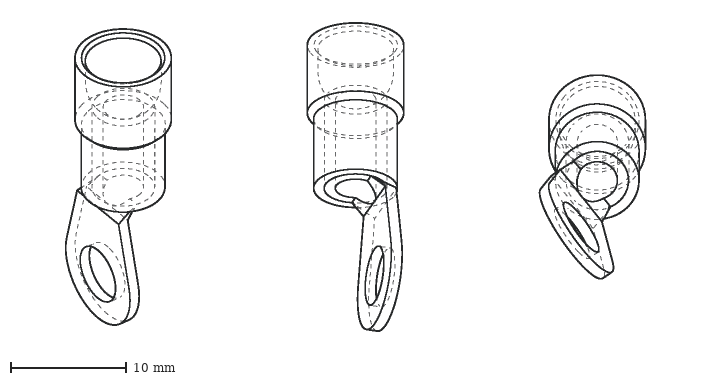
import cadquery as cq
import math

total_height = 27.0

ring_radius = 4.738
stud_hole_radius = 2.6
tongue_thickness = 1.0
tongue_top_half_width = 3.05
tongue_top = 12.0

barrel_radius = 2.73
wire_bore_radius = 1.75
barrel_bottom = 13.0
neck_chord_y = -0.55

sleeve_radius = 4.198
sleeve_lower_radius = 3.65
shoulder_bottom = 19.76
shoulder_top = 20.33
entry_radius = 3.3
entry_chamfer = 0.32
funnel_top = 24.38
funnel_depth = 2.7
funnel_bottom = funnel_top - funnel_depth

barrel_top = funnel_bottom
tongue_front_y = -barrel_radius
tongue_rear_y = tongue_front_y + tongue_thickness


def make_tongue():
    """Flat plate with a round end, flanks tangent to it, and a stud hole."""
    rise = tongue_top - ring_radius
    corner_distance = math.hypot(tongue_top_half_width, rise)
    tangent_angle = math.atan2(rise, tongue_top_half_width) - math.acos(ring_radius / corner_distance)
    tangent_x = ring_radius * math.cos(tangent_angle)
    tangent_z = ring_radius * (1 + math.sin(tangent_angle))
    plate = (
        cq.Workplane("XZ", origin=(0, tongue_rear_y, 0))
        .moveTo(-tongue_top_half_width, tongue_top)
        .lineTo(-tangent_x, tangent_z)
        .threePointArc((0, 0), (tangent_x, tangent_z))
        .lineTo(tongue_top_half_width, tongue_top)
        .close()
        .extrude(tongue_thickness)
    )
    stud_hole = (
        cq.Workplane("XZ", origin=(0, tongue_rear_y, 0))
        .center(0, ring_radius)
        .circle(stud_hole_radius)
        .extrude(tongue_thickness)
    )
    return plate.cut(stud_hole)


def make_neck():
    """Transition from the tongue's rectangular top edge to an arc of the barrel's end."""
    chord_half = math.sqrt(barrel_radius**2 - neck_chord_y**2)
    front_left = cq.Vector(-tongue_top_half_width, tongue_front_y, tongue_top)
    front_right = cq.Vector(tongue_top_half_width, tongue_front_y, tongue_top)
    rear_left = cq.Vector(-tongue_top_half_width, tongue_rear_y, tongue_top)
    rear_right = cq.Vector(tongue_top_half_width, tongue_rear_y, tongue_top)
    chord_left = cq.Vector(-chord_half, neck_chord_y, barrel_bottom)
    chord_right = cq.Vector(chord_half, neck_chord_y, barrel_bottom)
    arc_middle = cq.Vector(0, -barrel_radius, barrel_bottom)

    arc = cq.Edge.makeThreePointArc(chord_left, arc_middle, chord_right)
    front_edge = cq.Edge.makeLine(front_left, front_right)
    chord = cq.Edge.makeLine(chord_right, chord_left)

    def flat_face(*corners):
        return cq.Face.makeFromWires(cq.Wire.makePolygon(corners, close=True))

    faces = [
        cq.Face.makeRuledSurface(arc, front_edge),
        cq.Face.makeFromWires(cq.Wire.assembleEdges([arc, chord])),
        flat_face(front_left, front_right, rear_right, rear_left),
        flat_face(rear_left, rear_right, chord_right, chord_left),
        flat_face(front_left, rear_left, chord_left),
        flat_face(front_right, rear_right, chord_right),
    ]
    return cq.Workplane(cq.Solid.makeSolid(cq.Shell.makeShell(faces)))


def make_terminal():
    """Metal terminal: ring tongue, neck and barrel, with one wire bore."""
    barrel = (
        cq.Workplane("XY", origin=(0, 0, barrel_bottom))
        .circle(barrel_radius)
        .extrude(barrel_top - barrel_bottom)
    )
    wire_bore = (
        cq.Workplane("XY", origin=(0, 0, tongue_top))
        .circle(wire_bore_radius)
        .extrude(barrel_top - tongue_top)
    )
    return barrel.union(make_neck()).union(make_tongue()).cut(wire_bore)


def make_sleeve():
    """Stepped insulating sleeve with a chamfered entry and a rounded funnel."""
    funnel_width = entry_radius - wire_bore_radius
    arc_radius = (funnel_width**2 + funnel_depth**2) / (2 * funnel_width)
    half_angle = math.asin(funnel_depth / arc_radius) / 2
    funnel_middle = (
        entry_radius - arc_radius * (1 - math.cos(half_angle)),
        funnel_top - arc_radius * math.sin(half_angle),
    )
    profile = (
        cq.Workplane("XZ")
        .moveTo(barrel_radius, barrel_bottom)
        .lineTo(sleeve_lower_radius, barrel_bottom)
        .lineTo(sleeve_lower_radius, shoulder_bottom)
        .lineTo(sleeve_radius, shoulder_top)
        .lineTo(sleeve_radius, total_height)
        .lineTo(entry_radius + entry_chamfer, total_height)
        .lineTo(entry_radius, total_height - entry_chamfer)
        .lineTo(entry_radius, funnel_top)
        .threePointArc(funnel_middle, (wire_bore_radius, funnel_bottom))
        .lineTo(barrel_radius, funnel_bottom)
        .close()
    )
    return profile.revolve(360, (0, 0, 0), (0, 1, 0))


terminal = make_terminal()
sleeve = make_sleeve()
result = cq.Compound.makeCompound([terminal.val(), sleeve.val()])